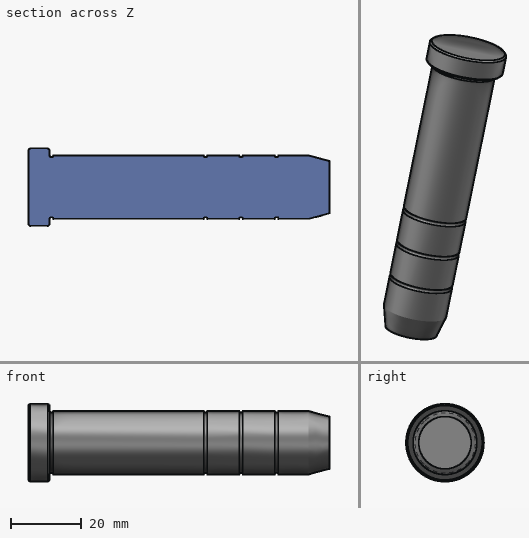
import cadquery as cq
import math

length = 85.0
head_diameter = 22.0
head_thickness = 6.0
head_chamfer = 0.5
shank_diameter = 18.0
groove_count = 3
groove_width = 1.0
groove_pitch = 10.0
first_groove_start = 49.5
taper_length = 6.0
taper_angle = 15.0

head_start = -length / 2
head_end = head_start + head_thickness
pin_end = length / 2
shank_radius = shank_diameter / 2


def round_groove(start):
    """Ring of half-round section to remove from the shank, beginning at the given X position."""
    return (
        cq.Workplane("XY")
        .moveTo(start, shank_radius)
        .threePointArc(
            (start + groove_width / 2, shank_radius - groove_width / 2),
            (start + groove_width, shank_radius),
        )
        .lineTo(start + groove_width, head_diameter / 2)
        .lineTo(start, head_diameter / 2)
        .close()
        .revolve(360, (0, 0, 0), (1, 0, 0))
    )


head = (
    cq.Workplane("YZ", origin=(head_start, 0, 0))
    .circle(head_diameter / 2)
    .extrude(head_thickness)
    .edges()
    .chamfer(head_chamfer)
)

tip_radius = shank_radius - taper_length * math.tan(math.radians(taper_angle))
shank = (
    cq.Workplane("XY")
    .moveTo(head_end, 0)
    .lineTo(head_end, shank_radius)
    .lineTo(pin_end - taper_length, shank_radius)
    .lineTo(pin_end, tip_radius)
    .lineTo(pin_end, 0)
    .close()
    .revolve(360, (0, 0, 0), (1, 0, 0))
)

shank = shank.cut(round_groove(head_end))

for index in range(groove_count):
    groove_start = head_start + first_groove_start + index * groove_pitch
    shank = shank.cut(round_groove(groove_start))

result = head.union(shank)